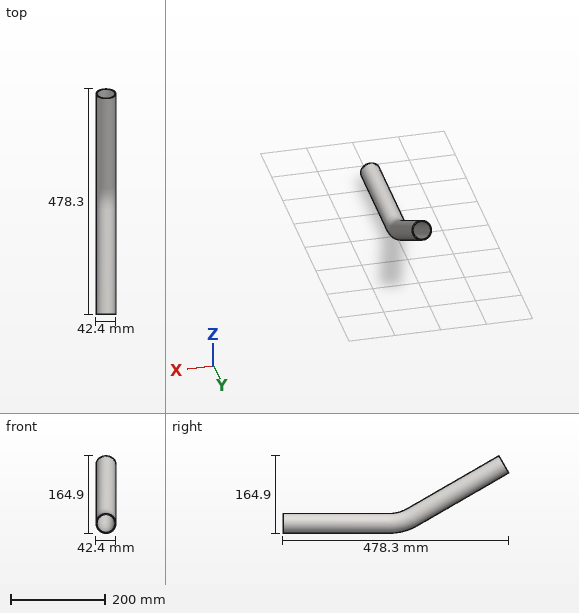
import cadquery as cq
import math

outer_diameter = 42.4
inner_diameter = 37.4
bend_radius = 100.0
bend_angle = 30.0
corner_distance = 250.62

leg_length = corner_distance - bend_radius * math.tan(math.radians(bend_angle / 2))


def bend_point(angle):
    """Centreline point (Y, Z) on the bend after turning by the angle in degrees."""
    turn = math.radians(angle)
    return (
        leg_length + bend_radius * math.sin(turn),
        bend_radius * (1 - math.cos(turn)),
    )


def make_centreline():
    """Level leg along +Y, upward bend, then the rising leg, in the YZ plane."""
    bend_end_y, bend_end_z = bend_point(bend_angle)
    rise = math.radians(bend_angle)
    tube_end = (
        bend_end_y + leg_length * math.cos(rise),
        bend_end_z + leg_length * math.sin(rise),
    )
    return (
        cq.Workplane("YZ")
        .lineTo(leg_length, 0)
        .threePointArc(bend_point(bend_angle / 2), (bend_end_y, bend_end_z))
        .lineTo(*tube_end)
    )


def make_tube():
    """Ring section swept along the centreline; the bore runs right through."""
    section = (
        cq.Workplane("XZ")
        .circle(outer_diameter / 2)
        .circle(inner_diameter / 2)
    )
    return section.sweep(make_centreline())


result = make_tube()